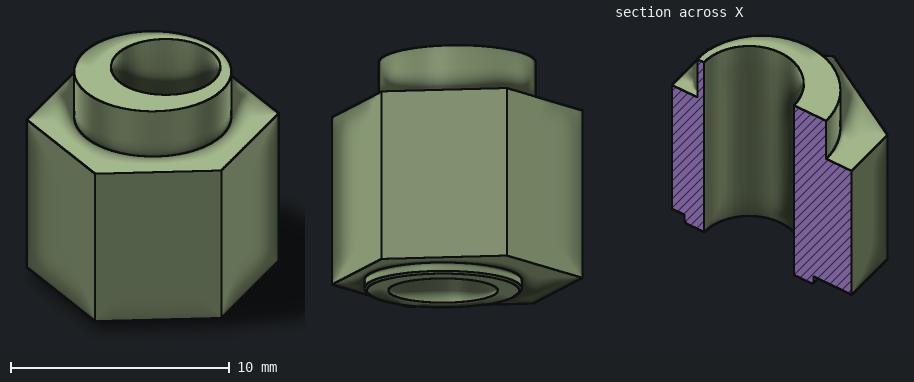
import cadquery as cq
import math

across_corners = 11.55
across_flats = across_corners * math.cos(math.radians(30))
body_height = 7.85

boss_diameter = 7.2
upper_boss_height = 2.4
lower_boss_height = 0.5
lower_edge_chamfer = 0.1

bore_diameter = across_flats / 2
eccentricity = 0.7


def make_body():
    return cq.Workplane("XY").polygon(6, across_corners).extrude(body_height)


def make_upper_boss():
    boss = cq.Workplane("XY").circle(boss_diameter / 2).extrude(upper_boss_height)
    return boss.translate((0, 0, body_height))


def make_lower_boss():
    boss = cq.Workplane("XY").circle(boss_diameter / 2).extrude(-lower_boss_height)
    boss = boss.faces("<Z").edges().chamfer(lower_edge_chamfer)
    return boss.translate((0, eccentricity, 0))


def make_bore():
    total_height = lower_boss_height + body_height + upper_boss_height
    bore = cq.Workplane("XY").circle(bore_diameter / 2).extrude(total_height)
    return bore.translate((0, eccentricity, -lower_boss_height))


result = make_body().union(make_upper_boss()).union(make_lower_boss()).cut(make_bore())